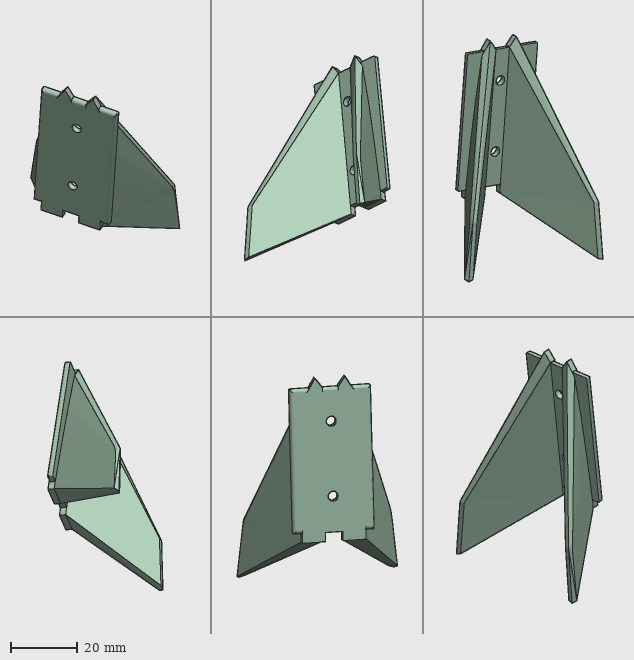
import cadquery as cq
import math

tilt = 7.1
foot_z = 18.45
total_height = 68.4
plate_width = 25.0
plate_bottom = 2.8
plate_top = 47.25
plate_thickness = 2.0
edge_radius = 1.0
corner_radius = 0.5
hole_diameter = 3.0
hole_heights = (13.8, 36.85)

foot_outer_x = 9.8
foot_inner_x = 2.7

peak_height = (total_height - foot_z) / math.cos(math.radians(tilt))

fin_root = [
    (foot_inner_x, 0),
    (foot_outer_x, 0),
    (foot_outer_x, 1.6),
    (9.2, 17.1),
    (8.95, 22.85),
    (8.5, 31.9),
    (7.3, 45.95),
    (4.65, peak_height),
    (3.75, 49.2),
    (2.4, 47.3),
]

foot_corners = 3

fin_back_y = 26.3
fin_outer_y = 25.1
shoulder = (22.4, 24.55, 19.15)
upper_tip = [
    (23.0, fin_outer_y, 16.3),
    (22.4, fin_back_y, 18.2),
    (20.85, 26.05, 18.2),
]
lower_tip = [
    (24.7, fin_outer_y, 0.7),
    (23.85, fin_back_y, 0),
    (22.3, 26.1, 0.5),
]

flat_tolerance = 6.84e-07

plate_plane = cq.Plane(
    origin=(0, 0, foot_z),
    xDir=(1, 0, 0),
    normal=(0, -math.cos(math.radians(tilt)), math.sin(math.radians(tilt))),
)


def on_plate(x, height, depth):
    """World position of a point given in plate coordinates."""
    return plate_plane.toWorldCoords((x, height, -depth))


def hull_face(points, normal):
    """Flat convex face through coplanar points, ordered around their centre."""
    centre = sum(points, cq.Vector()) / len(points)
    across = (points[0] - centre).normalized()
    along = normal.cross(across)
    ordered = sorted(points, key=lambda p: math.atan2((p - centre).dot(along), (p - centre).dot(across)))
    return cq.Face.makeFromWires(cq.Wire.makePolygon(ordered, close=True))


def convex_solid(points):
    """Smallest convex solid that contains all the points."""
    count = len(points)
    faces = {}
    for i in range(count):
        for j in range(i + 1, count):
            for k in range(j + 1, count):
                normal = (points[j] - points[i]).cross(points[k] - points[i]).normalized()
                offsets = [(p - points[i]).dot(normal) for p in points]
                if min(offsets) < -flat_tolerance and max(offsets) > flat_tolerance:
                    continue
                members = tuple(n for n in range(count) if abs(offsets[n]) < flat_tolerance)
                if members not in faces:
                    faces[members] = hull_face([points[n] for n in members], normal)
    return cq.Solid.makeSolid(cq.Shell.makeShell(list(faces.values())))


def make_block(width, bottom, height):
    """Rectangular piece of the plate's full thickness, centred across the part."""
    return (
        cq.Workplane(plate_plane)
        .center(0, bottom + height / 2)
        .rect(width, height)
        .extrude(-plate_thickness)
    )


def make_plate():
    """Plate with a rounded front rim and slightly rounded corners."""
    block = make_block(plate_width, plate_bottom, plate_top - plate_bottom)
    front = cq.selectors.DirectionMinMaxSelector(plate_plane.zDir, True)
    corners = cq.selectors.ParallelDirSelector(plate_plane.zDir)
    rounded_rim = block.faces(front).edges().fillet(edge_radius)
    rounded_corners = block.edges(corners).fillet(corner_radius)
    return rounded_rim.intersect(rounded_corners)


def make_foot_block():
    """Square strip that joins the two feet along the bottom of the plate."""
    return make_block(2 * foot_outer_x, plate_bottom, edge_radius)


def make_fin():
    """Right-hand fin: its root passes through the plate, its blade sweeps back and down."""
    root = cq.Workplane(plate_plane).polyline(fin_root).close().extrude(-plate_thickness)
    root_back = [on_plate(x, height, plate_thickness) for x, height in fin_root]
    foot_back = root_back[:foot_corners]
    upper_end = [cq.Vector(*point) for point in upper_tip]
    lower_end = [cq.Vector(*point) for point in lower_tip]
    upper_blade = convex_solid(root_back + upper_end + [cq.Vector(*shoulder)])
    lower_blade = convex_solid(foot_back + upper_end + lower_end)
    return root.union(cq.Workplane(upper_blade)).union(cq.Workplane(lower_blade))


def make_holes():
    return (
        cq.Workplane(plate_plane)
        .pushPoints([(0, height) for height in hole_heights])
        .circle(hole_diameter / 2)
        .extrude(-plate_thickness)
    )


fin = make_fin()
result = make_plate().union(make_foot_block()).union(fin).union(fin.mirror("YZ")).cut(make_holes())